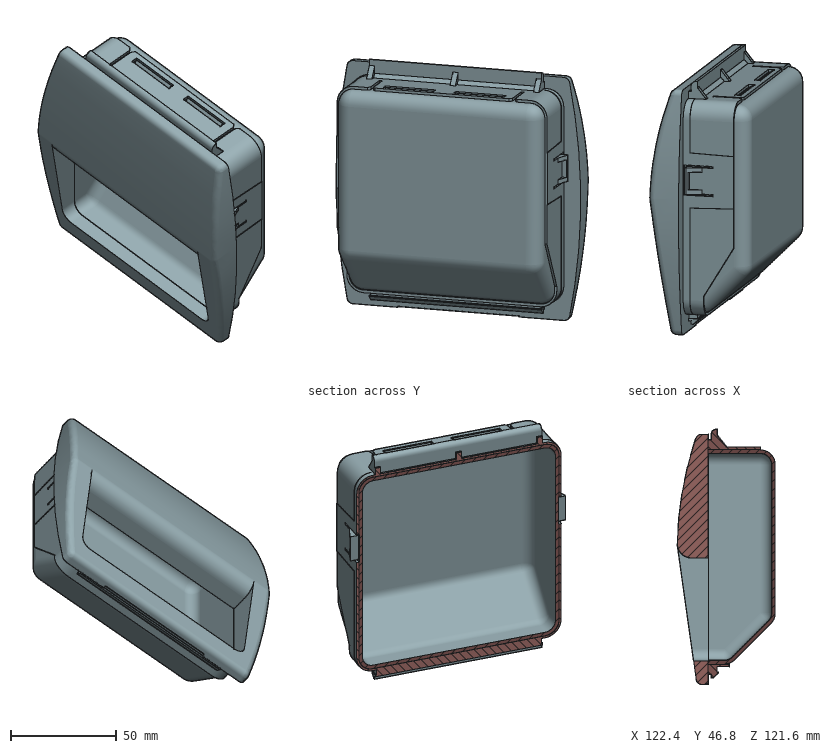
import cadquery as cq
import math


bezel_half_width = 61.2
bezel_corner_half_width = 55.2
bezel_top = 58.4
bezel_bottom = -60.8
bezel_middle = (bezel_top + bezel_bottom) / 2
bezel_depth = 15.0
bezel_top_depth = 5.4
rim_thickness = 1.3
cover_draft = 1.0
ridge_z = 6.5
lower_slope = 8.0
front_arc_mid_z = 33.2
front_arc_mid_depth = 12.1
edge_radius = 3.0
bezel_corner_radius = 3.1
lip_radius = 7.1
notch_half_width = 30.4
notch_height = 0.5

opening_clearance = 0.2

tray_half_width = 51.5
tray_half_height = 51.0
tray_back = 31.8
tray_radius = 7.1
tray_wall = 1.8
slope_start_z = -29.6
slope_half_angle = 22.5

frame_wall = 1.3
frame_half_width = tray_half_width + frame_wall
frame_half_height = tray_half_height + frame_wall
frame_radius = tray_radius + frame_wall
frame_back = tray_back - tray_radius
frame_back_bottom = 9.9
cutback_top_z = -17.4
cutback_bottom_z = -41.6

recess_depth = 0.2
recess_front = 3.3
recess_upper_front_z = 27.9
recess_upper_back_z = 27.3
recess_lower_front_z = 1.1
recess_lower_back_z = 1.8

snap_z = 14.6
snap_height = 12.9
snap_slot = 0.9
snap_slot_back = 14.7
snap_slot_front = 0.4
snap_front = 1.3
snap_tip_back = 2.2
snap_back = 9.2
snap_rise = 2.6
snap_pocket_height = 8.6
snap_pocket_front = 3.1

latch_half_width = 43.1
latch_front = 1.2
latch_back = 4.3
latch_top = 60.8
latch_nose_radius = 2.6
latch_ledge_z = 55.7
latch_chamfer = 1.8
gusset_back = 8.7
gusset_top = 57.8
gusset_width = 2.7

hook_half_width = 43.1
hook_front = 1.2
hook_back = 4.2
hook_barb = 0.5
hook_barb_height = 1.1
hook_tip_back = 2.3
hook_neck_z = -54.8
hook_tip_z = -57.5

slit_x = 35.5
slit_width = 1.3
slit_end = 10.0
slit_flare_width = 3.8
slit_flare_depth = 1.6
window_inner_x = 5.0
window_length = 25.1
window_x = window_inner_x + window_length / 2
window_front = 19.1
window_back = 22.2

catch_length = 23.8
catch_front = 20.0
catch_back = 21.3
catch_height = 1.2


def prism_along_x(points, x_start, x_end):
    """Extrude a closed outline of (Y, Z) points from x_start to x_end."""
    return (
        cq.Workplane("YZ").polyline(points).close()
        .extrude(x_end - x_start).translate((x_start, 0, 0))
    )


def block(x_range, y_range, z_range):
    """Box between two limits along each axis."""
    lows, highs = zip(x_range, y_range, z_range)
    sizes = [high - low for low, high in zip(lows, highs)]
    return cq.Workplane("XY").box(*sizes, centered=False).translate(lows)


def rounded_block(half_width, half_height, radius, length):
    """Round-cornered block running from Y = 0 to Y = length."""
    return (
        cq.Workplane("XZ").rect(2 * half_width, 2 * half_height).extrude(-length)
        .edges("|Y").fillet(radius)
    )


def bezel_slab(y_front, y_back, draft=0.0):
    """Slab with the bezel outline: flat ends, bowed sides, rounded corners."""
    return (
        cq.Workplane("XZ", origin=(0, y_back, 0))
        .moveTo(-bezel_corner_half_width, bezel_bottom)
        .lineTo(bezel_corner_half_width, bezel_bottom)
        .threePointArc((bezel_half_width, bezel_middle), (bezel_corner_half_width, bezel_top))
        .lineTo(-bezel_corner_half_width, bezel_top)
        .threePointArc((-bezel_half_width, bezel_middle), (-bezel_corner_half_width, bezel_bottom))
        .close()
        .extrude(y_back - y_front, taper=draft)
        .edges("not(<Y or >Y)").fillet(bezel_corner_radius)
    )


def grip_opening():
    """Cutter for the grip opening; its top follows the round lip below the ridge."""
    half_width = tray_half_width - tray_wall + opening_clearance
    bottom = -(tray_half_height - tray_wall + opening_clearance)
    lip_center_y = lip_radius - bezel_depth
    lip_bottom = ridge_z - lip_radius
    quarter = lip_radius * math.sqrt(0.5)
    clear_front = -2 * bezel_depth
    return (
        cq.Workplane("YZ")
        .moveTo(clear_front, bottom)
        .lineTo(0, bottom)
        .lineTo(0, lip_bottom)
        .lineTo(lip_center_y, lip_bottom)
        .threePointArc((lip_center_y - quarter, ridge_z - quarter), (-bezel_depth, ridge_z))
        .lineTo(clear_front, ridge_z)
        .close()
        .extrude(half_width, both=True)
        .edges("|Y and <Z").fillet(tray_radius - tray_wall + opening_clearance)
    )


def front_profile():
    """Side profile of the cover: bowed above the ridge, round at it, flat below."""
    slope = math.radians(lower_slope)
    lip_center_y = lip_radius - bezel_depth
    slope_top_y = lip_center_y - lip_radius * math.cos(slope)
    slope_top_z = ridge_z - lip_radius * math.sin(slope)
    bottom_y = slope_top_y + (slope_top_z - bezel_bottom) * math.tan(slope)
    lip_middle = (
        lip_center_y - lip_radius * math.cos(slope / 2),
        ridge_z - lip_radius * math.sin(slope / 2),
    )
    return (
        cq.Workplane("YZ")
        .moveTo(-rim_thickness, bezel_bottom)
        .lineTo(bottom_y, bezel_bottom)
        .lineTo(slope_top_y, slope_top_z)
        .threePointArc(lip_middle, (-bezel_depth, ridge_z))
        .threePointArc((-front_arc_mid_depth, front_arc_mid_z), (-bezel_top_depth, bezel_top))
        .lineTo(-rim_thickness, bezel_top)
        .close()
        .extrude(bezel_half_width, both=True)
    )


def make_bezel():
    cover = bezel_slab(-bezel_depth, -rim_thickness, cover_draft).intersect(front_profile())
    top_edge = cq.selectors.NearestToPointSelector((0, -bezel_top_depth, bezel_top))
    cover = cover.edges(top_edge).fillet(edge_radius)
    notch = block(
        (-notch_half_width, notch_half_width), (-rim_thickness, 0),
        (bezel_bottom, bezel_bottom + notch_height),
    )
    rim = bezel_slab(-rim_thickness, 0).cut(notch)
    return cover.union(rim).cut(grip_opening())


def tray_block(inset):
    """Solid tray shape, shrunk inward by inset; the front stays at Y = 0."""
    half_width = tray_half_width - inset
    half_height = tray_half_height - inset
    back = tray_back - inset
    bend_z = slope_start_z + inset * math.tan(math.radians(slope_half_angle))
    floor_start = back - (bend_z + half_height)
    outline = [
        (0, -half_height), (floor_start, -half_height), (back, bend_z),
        (back, half_height), (0, half_height),
    ]
    solid = prism_along_x(outline, -half_width, half_width)
    return solid.edges("not <Y").fillet(tray_radius - inset)


def make_tray():
    tray = tray_block(0).cut(tray_block(tray_wall))
    seat_z = tray_half_height - tray_wall / 2
    catch = [
        (catch_front, seat_z), (catch_back, seat_z),
        (catch_back, tray_half_height + catch_height), (catch_front, tray_half_height),
    ]
    for x in (-window_x, window_x):
        tray = tray.union(prism_along_x(catch, x - catch_length / 2, x + catch_length / 2))
    return tray


def frame_shell():
    """Open ring around the tray, with its rear edge cut back toward the bottom."""
    outer = rounded_block(frame_half_width, frame_half_height, frame_radius, frame_back)
    cutback = [
        (frame_back, cutback_top_z), (frame_back_bottom, cutback_bottom_z),
        (frame_back_bottom, -frame_half_height), (frame_back, -frame_half_height),
    ]
    core = rounded_block(tray_half_width, tray_half_height, tray_radius, frame_back)
    shell = outer.cut(prism_along_x(cutback, -frame_half_width, frame_half_width))
    narrow = rounded_block(
        frame_half_width - recess_depth, frame_half_height, frame_radius, frame_back
    )
    skin = outer.cut(narrow)
    upper = [
        (recess_front, recess_upper_front_z), (frame_back, recess_upper_back_z),
        (frame_back, frame_half_height), (recess_front, frame_half_height),
    ]
    lower = [
        (recess_front, recess_lower_front_z), (frame_back, recess_lower_back_z),
        (frame_back, -frame_half_height), (recess_front, -frame_half_height),
    ]
    for zone in (upper, lower):
        shell = shell.cut(skin.intersect(prism_along_x(zone, -frame_half_width, frame_half_width)))
    return shell.cut(core)


def top_latch():
    """Snap strip on the roof, stiffened by three gussets."""
    root = frame_half_height - frame_wall / 2
    outline = [
        (latch_front, root), (latch_back + latch_chamfer, root),
        (latch_back + latch_chamfer, frame_half_height),
        (latch_back, frame_half_height + latch_chamfer),
        (latch_back, latch_top), (latch_front, latch_top),
    ]
    strip = prism_along_x(outline, -latch_half_width, latch_half_width)
    strip = strip.faces(">Z").edges("<Y").fillet(latch_nose_radius)
    gusset = [
        (0, root), (gusset_back, root), (gusset_back, frame_half_height),
        (latch_back, gusset_top), (latch_front, gusset_top),
        (latch_front, latch_ledge_z), (0, latch_ledge_z),
    ]
    outer_gusset_x = latch_half_width - gusset_width / 2
    for x in (-outer_gusset_x, 0, outer_gusset_x):
        strip = strip.union(prism_along_x(gusset, x - gusset_width / 2, x + gusset_width / 2))
    return strip


def bottom_hook():
    """Hook below the frame: a stem with a slightly wider, tapered barb."""
    root = -frame_half_height + frame_wall / 2
    barb_back = hook_back + hook_barb
    barb_end_z = hook_neck_z - hook_barb_height
    stem = block(
        (hook_barb - hook_half_width, hook_half_width - hook_barb), (0, hook_back),
        (hook_neck_z, root),
    )
    barb = [
        (0, hook_neck_z), (barb_back, hook_neck_z), (barb_back, hook_neck_z - hook_barb),
        (hook_tip_back, hook_tip_z), (hook_front, hook_tip_z),
        (hook_front, barb_end_z), (0, barb_end_z),
    ]
    return stem.union(prism_along_x(barb, -hook_half_width, hook_half_width))


def side_snap_slot():
    """U-shaped cutter that frees the left snap tongue."""
    wall = (-frame_half_width - frame_wall, -tray_half_width + frame_wall)
    half_tongue = snap_height / 2
    half_slot = half_tongue + snap_slot
    slot = block(wall, (snap_slot_front, snap_slot_back), (snap_z - half_slot, snap_z + half_slot))
    tongue = block(wall, (snap_front, snap_slot_back), (snap_z - half_tongue, snap_z + half_tongue))
    return slot.cut(tongue)


def side_snap_barb():
    """Wedge on the left snap tongue, hollowed in the middle."""
    root_x = -frame_half_width + frame_wall / 2
    tip_x = -frame_half_width - snap_rise
    wedge = (
        cq.Workplane("XY")
        .polyline([
            (root_x, snap_front), (tip_x, snap_front), (tip_x, snap_tip_back),
            (-frame_half_width, snap_back), (root_x, snap_back),
        ])
        .close().extrude(snap_height).translate((0, 0, snap_z - snap_height / 2))
    )
    half_pocket = snap_pocket_height / 2
    pocket = block(
        (tip_x, -frame_half_width), (snap_pocket_front, snap_back),
        (snap_z - half_pocket, snap_z + half_pocket),
    )
    return wedge.cut(pocket)


def roof_slit():
    """Cutter for the left roof slit, flared at the rear edge."""
    flare_start = frame_back - slit_flare_depth
    half, half_flare = slit_width / 2, slit_flare_width / 2
    return (
        cq.Workplane("XY", origin=(-slit_x, 0, tray_half_height))
        .polyline([
            (-half, slit_end), (half, slit_end), (half, flare_start), (half_flare, frame_back),
            (-half_flare, frame_back), (-half, flare_start),
        ])
        .close().extrude(frame_wall)
    )


def make_frame():
    frame = frame_shell().union(top_latch()).union(bottom_hook())
    slot, barb, slit = side_snap_slot(), side_snap_barb(), roof_slit()
    window = block(
        (-window_x - window_length / 2, -window_x + window_length / 2),
        (window_front, window_back), (tray_half_height, frame_half_height),
    )
    for cutter in (slot, slit, window):
        frame = frame.cut(cutter).cut(cutter.mirror("YZ"))
    return frame.union(barb).union(barb.mirror("YZ"))


bezel = make_bezel()
frame = make_frame()
tray = make_tray()
result = cq.Compound.makeCompound([bezel.val(), frame.val(), tray.val()])